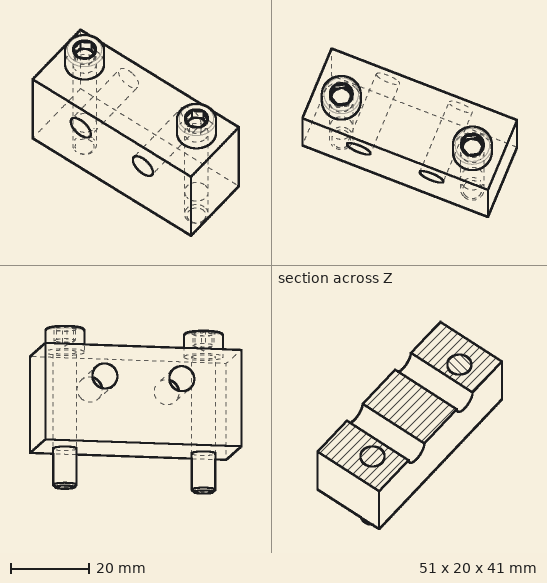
import cadquery as cq
import math

block_length = 51.0
block_width = 20.0
block_height = 25.0

cross_hole_diameter = 6.5
cross_hole_spacing = 20.0
cross_hole_depth_below_top = 8.0

screw_end_margin = 7.5
screw_back_margin = 8.0
head_diameter = 10.0
head_height = 6.0
head_fillet = 0.6
shank_diameter = 6.0
shank_protrusion = 10.0
tip_chamfer = 0.6

hex_across_flats = 5.0
hex_depth = 3.0
socket_mouth_diameter = 5.85
mouth_cone_angle = 30.0
floor_cone_angle = 30.0

screw_x = block_length / 2 - screw_end_margin
screw_y = block_width / 2 - screw_back_margin
screw_points = [(-screw_x, screw_y), (screw_x, screw_y)]
cross_hole_z = block_height - cross_hole_depth_below_top
hex_across_corners = hex_across_flats / math.cos(math.radians(30))


def make_block():
    """Rectangular block with two screw holes along Z and two cross holes along Y."""
    body = cq.Workplane("XY").box(block_length, block_width, block_height, centered=(True, True, False))
    screw_holes = cq.Workplane("XY").pushPoints(screw_points).circle(shank_diameter / 2).extrude(block_height)
    cross_holes = (
        cq.Workplane("XZ")
        .pushPoints([(-cross_hole_spacing / 2, cross_hole_z), (cross_hole_spacing / 2, cross_hole_z)])
        .circle(cross_hole_diameter / 2)
        .extrude(block_width / 2, both=True)
    )
    return body.cut(screw_holes).cut(cross_holes)


def make_cone(radius, slope_angle, base_z):
    """Cone on the Z axis that narrows downward from base_z to its apex."""
    depth = radius * math.tan(math.radians(slope_angle))
    return cq.Workplane(cq.Solid.makeCone(radius, 0, depth, cq.Vector(0, 0, base_z), cq.Vector(0, 0, -1)))


def make_socket(head_top):
    """Hexagonal recess, corners toward +Y and -Y, with a conical mouth and floor."""
    hexagon = (
        cq.Workplane("XY", origin=(0, 0, head_top - hex_depth))
        .transformed(rotate=(0, 0, 90))
        .polygon(6, hex_across_corners)
        .extrude(hex_depth)
    )
    floor = make_cone(hex_across_flats / 2, floor_cone_angle, head_top - hex_depth)
    mouth = make_cone(socket_mouth_diameter / 2, mouth_cone_angle, head_top)
    return hexagon.union(floor).union(mouth)


def make_screw(x, y):
    """Cap screw whose head rests on the block and whose shank passes through it."""
    head_top = block_height + head_height
    head = (
        cq.Workplane("XY", origin=(0, 0, block_height))
        .circle(head_diameter / 2)
        .extrude(head_height)
        .faces(">Z")
        .edges()
        .fillet(head_fillet)
    )
    shank = (
        cq.Workplane("XY", origin=(0, 0, -shank_protrusion))
        .circle(shank_diameter / 2)
        .extrude(shank_protrusion + block_height)
        .faces("<Z")
        .edges()
        .chamfer(tip_chamfer)
    )
    return head.union(shank).cut(make_socket(head_top)).translate((x, y, 0))


block = make_block()
screws = [make_screw(x, y) for x, y in screw_points]

result = cq.Compound.makeCompound([block.solids().val(), *[screw.solids().val() for screw in screws]])